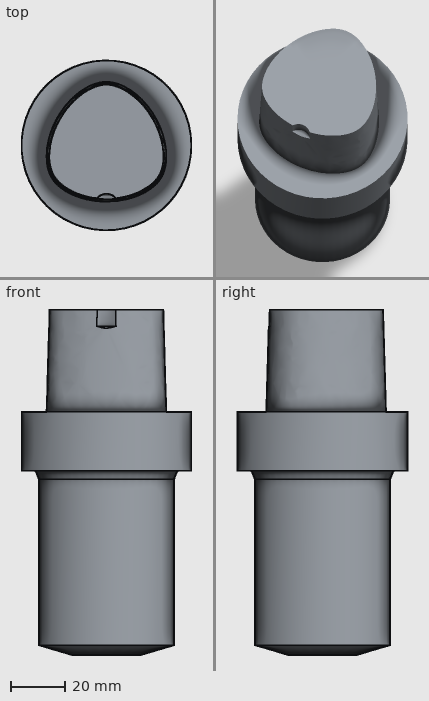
import cadquery as cq
import math

total_height = 128.0
tip_height = 3.7
flange_bottom = 68.2
flange_top = 90.1
neck_height = 3.1

shank_radius = 50.0 / 2
tip_radius = 12.4
flange_radius = 63.0 / 2
neck_top_radius = 26.2
neck_fillet = 0.5

base_mean_radius = 22.21
top_mean_radius = 21.1
lobe_offset = 1.35
curve_points = 48

notch_radius = 4.4
notch_back = 17.9
notch_depth = 6.1
notch_floor_angle = 20.0


def trilobe_wire(mean_radius, z):
    """Closed constant-width curve, swept by the direction of its outward normal."""
    def point(angle):
        support = mean_radius - lobe_offset * math.sin(3 * angle)
        slope = -3 * lobe_offset * math.cos(3 * angle)
        x = support * math.cos(angle) - slope * math.sin(angle)
        y = support * math.sin(angle) + slope * math.cos(angle)
        return cq.Vector(x, y, z)

    start = -math.pi / 2
    step = 2 * math.pi / curve_points
    points = [point(start + i * step) for i in range(curve_points)]
    edge = cq.Edge.makeSpline(points, periodic=True)
    return cq.Wire.assembleEdges([edge])


def round_body():
    """Shank with a conical tip, flared neck and flange."""
    body = (
        cq.Workplane("XZ")
        .polyline([
            (0, 0),
            (tip_radius, 0),
            (shank_radius, tip_height),
            (shank_radius, flange_bottom - neck_height),
            (neck_top_radius, flange_bottom),
            (flange_radius, flange_bottom),
            (flange_radius, flange_top),
            (0, flange_top),
        ])
        .close()
        .revolve(360, (0, 0, 0), (0, 1, 0))
    )
    neck_corner = cq.selectors.RadiusNthSelector(2)
    return body.edges("%CIRCLE").edges(neck_corner).fillet(neck_fillet)


def trilobe():
    """Tapered trilobe standing on the flange."""
    base = trilobe_wire(base_mean_radius, flange_top)
    top = trilobe_wire(top_mean_radius, total_height)
    return cq.Workplane(obj=cq.Solid.makeLoft([base, top], True))


def notch_cutter():
    """Upright pointed cylinder that cuts the notch."""
    point_depth = notch_depth + notch_radius * math.tan(math.radians(notch_floor_angle))
    return (
        cq.Workplane("XZ")
        .polyline([
            (0, 0),
            (notch_radius, 0),
            (notch_radius, -notch_depth),
            (0, -point_depth),
        ])
        .close()
        .revolve(360, (0, 0, 0), (0, 1, 0))
        .translate((0, -(notch_back + notch_radius), total_height))
    )


result = round_body().union(trilobe()).cut(notch_cutter())